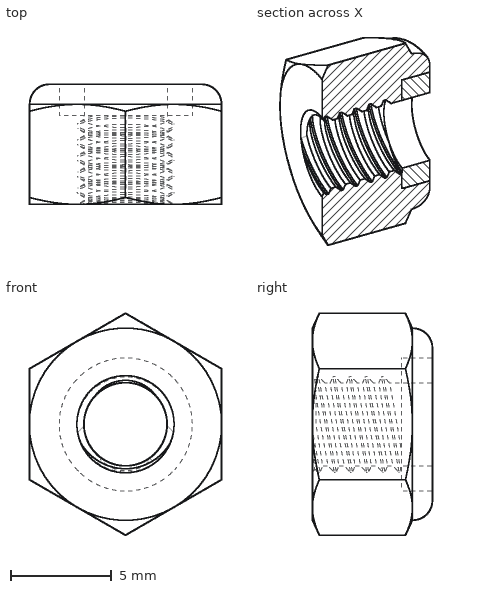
import cadquery as cq
import math

corner_diameter = 11.0
flat_width = corner_diameter * math.cos(math.radians(30))
face_radius = flat_width / 2
hex_height = 4.95
collar_height = 1.0
collar_round = 0.99
total_height = hex_height + collar_height
corner_bevel = 0.34

pitch = 0.8
bore_radius = 2.06
thread_depth = 0.35
root_radius = bore_radius + thread_depth
crest_width = 0.24
root_width = pitch / 8
thread_tilt = 10.5
first_groove = -0.12
groove_count = 6
overlap = 0.11

countersink_radius = 2.41
countersink_depth = 0.18

insert_radius = 3.3
insert_length = 1.54
insert_start = total_height - insert_length


def revolve_about_y(points):
    """Revolve a closed (radius, y) outline around the nut axis."""
    return cq.Workplane("XY").polyline(points).close().revolve(360, (0, 0, 0), (0, 1, 0))


def cylinder(radius, start, length):
    outline = [(0, start), (radius, start), (radius, start + length), (0, start + length)]
    return revolve_about_y(outline)


def hexagon():
    """Hexagon with corners up and down, its corners turned off conically at both ends."""
    prism = (
        cq.Workplane("XZ")
        .transformed(rotate=(0, 0, 90))
        .polygon(6, corner_diameter)
        .extrude(-hex_height)
    )
    corner_radius = corner_diameter / 2
    envelope = revolve_about_y([
        (0, 0),
        (face_radius, 0),
        (corner_radius, corner_bevel),
        (corner_radius, hex_height - corner_bevel),
        (face_radius, hex_height),
        (0, hex_height),
    ])
    return prism.intersect(envelope)


def collar():
    return cylinder(face_radius, hex_height, collar_height).faces(">Y").edges().fillet(collar_round)


def thread_groove(y):
    """Ring groove with a 60 degree V profile, tilted like a turn of thread."""
    slope = (pitch - crest_width - root_width) / 2 / thread_depth
    mouth = root_width / 2 + slope * (thread_depth + overlap)
    inner = bore_radius - overlap
    ring = revolve_about_y([
        (inner, -mouth),
        (root_radius, -root_width / 2),
        (root_radius, root_width / 2),
        (inner, mouth),
    ])
    return ring.rotate((0, 0, 0), (1, 0, 0), thread_tilt).translate((0, y, 0))


def countersink():
    return revolve_about_y([
        (0, 0),
        (countersink_radius, 0),
        (bore_radius, countersink_depth),
        (0, countersink_depth),
    ])


def make_nut_body():
    body = hexagon().union(collar())
    body = body.cut(cylinder(bore_radius, 0, total_height))
    body = body.cut(countersink())
    for index in range(groove_count):
        body = body.cut(thread_groove(first_groove + index * pitch))
    return body.cut(cylinder(insert_radius, insert_start, insert_length))


def make_insert():
    ring = cylinder(insert_radius, insert_start, insert_length)
    return ring.cut(cylinder(bore_radius, insert_start, insert_length))


nut_body = make_nut_body()
insert = make_insert()
result = cq.Compound.makeCompound([nut_body.val(), insert.val()])